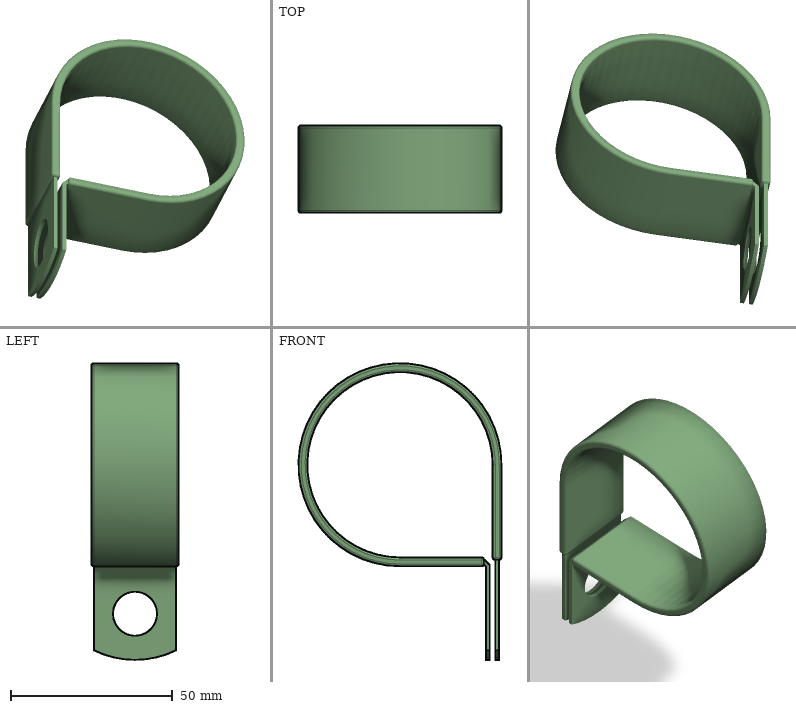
import cadquery as cq
import math

inch = 25.4
loop_bore_diameter = 2.25 * inch
strap_thickness = 0.048 * inch
strap_width = 1.0 * inch
cushion_thickness = inch / 32
tab_bottom_z = -60.3
tab_end_radius = 1.125 * inch
hole_diameter = 17 / 32 * inch
slot_length = 5 / 8 * inch
hole_to_tab_bottom = 9 / 16 * inch
bend_chamfer = inch / 16

covered_thickness = strap_thickness + 2 * cushion_thickness
covered_width = strap_width + 2 * cushion_thickness
strap_inner_radius = loop_bore_diameter / 2 + cushion_thickness
tab_gap = 2 * cushion_thickness
bent_tab_outer_x = strap_inner_radius - tab_gap
bent_tab_inner_x = bent_tab_outer_x - strap_thickness
strap_outer_radius = strap_inner_radius + strap_thickness

bend_angle = math.radians(45)
bend_shift = strap_thickness * math.tan(bend_angle / 2)
bend_start_x = bent_tab_outer_x - bend_chamfer
inner_bend_start_x = bend_start_x - bend_shift
bend_end_z = -strap_inner_radius - bend_chamfer
inner_bend_end_z = bend_end_z - bend_shift

straight_cushion_end_z = -strap_inner_radius
bent_cushion_end_x = (bend_start_x + inner_bend_start_x) / 2


def extrude_across(profile, width):
    """Extrude a profile in the XZ plane symmetrically along Y."""
    return profile.extrude(width / 2, both=True)


def loop_profile(inner_radius, outer_radius, straight_end_z, bent_end_x):
    """Three-quarter ring with one leg going down and one leg going to +X."""
    inner_diagonal = inner_radius * math.sqrt(0.5)
    outer_diagonal = outer_radius * math.sqrt(0.5)
    return (
        cq.Workplane("XZ")
        .moveTo(outer_radius, straight_end_z)
        .lineTo(outer_radius, 0)
        .threePointArc((-outer_diagonal, outer_diagonal), (0, -outer_radius))
        .lineTo(bent_end_x, -outer_radius)
        .lineTo(bent_end_x, -inner_radius)
        .lineTo(0, -inner_radius)
        .threePointArc((-inner_diagonal, inner_diagonal), (inner_radius, 0))
        .lineTo(inner_radius, straight_end_z)
        .close()
    )


def make_cushion():
    """Cushion around the loop, rounded along all of its edges."""
    inner_radius = loop_bore_diameter / 2
    outer_radius = inner_radius + covered_thickness
    profile = loop_profile(inner_radius, outer_radius, straight_cushion_end_z, bent_cushion_end_x)
    body = extrude_across(profile, covered_width)
    return body.edges().fillet(cushion_thickness)


def make_strap():
    """Metal strap: loop, bent leg and the two parallel tabs."""
    loop = extrude_across(
        loop_profile(strap_inner_radius, strap_outer_radius, tab_bottom_z, inner_bend_start_x),
        strap_width,
    )
    bent_tab = extrude_across(
        cq.Workplane("XZ").polyline([
            (inner_bend_start_x, -strap_inner_radius),
            (bend_start_x, -strap_inner_radius),
            (bent_tab_outer_x, bend_end_z),
            (bent_tab_outer_x, tab_bottom_z),
            (bent_tab_inner_x, tab_bottom_z),
            (bent_tab_inner_x, inner_bend_end_z),
            (inner_bend_start_x, -strap_outer_radius),
        ]).close(),
        strap_width,
    )
    return loop.union(bent_tab)


def tab_end_trim():
    """Material to remove below the arc that rounds the ends of both tabs."""
    half_width = strap_width / 2
    sagitta = tab_end_radius - math.sqrt(tab_end_radius**2 - half_width**2)
    corner_z = tab_bottom_z + sagitta
    return (
        cq.Workplane("YZ")
        .moveTo(-half_width, corner_z)
        .threePointArc((0, tab_bottom_z), (half_width, corner_z))
        .lineTo(half_width, tab_bottom_z)
        .lineTo(-half_width, tab_bottom_z)
        .close()
        .extrude(strap_outer_radius)
    )


def tab_hole_plane(tab_inner_x):
    """Workplane on a tab's inner face, centred on the bolt axis and facing +X."""
    return cq.Workplane("YZ", origin=(tab_inner_x, 0, tab_bottom_z + hole_to_tab_bottom))


def bent_tab_hole():
    """Round bolt hole through the bent tab."""
    return tab_hole_plane(bent_tab_inner_x).circle(hole_diameter / 2).extrude(strap_thickness)


def straight_tab_slot():
    """Upright slot through the straight tab, allowing for adjustment of the bolt."""
    return tab_hole_plane(strap_inner_radius).slot2D(slot_length, hole_diameter, 90).extrude(strap_thickness)


strap = make_strap().cut(tab_end_trim()).cut(bent_tab_hole()).cut(straight_tab_slot())
result = make_cushion().union(strap)